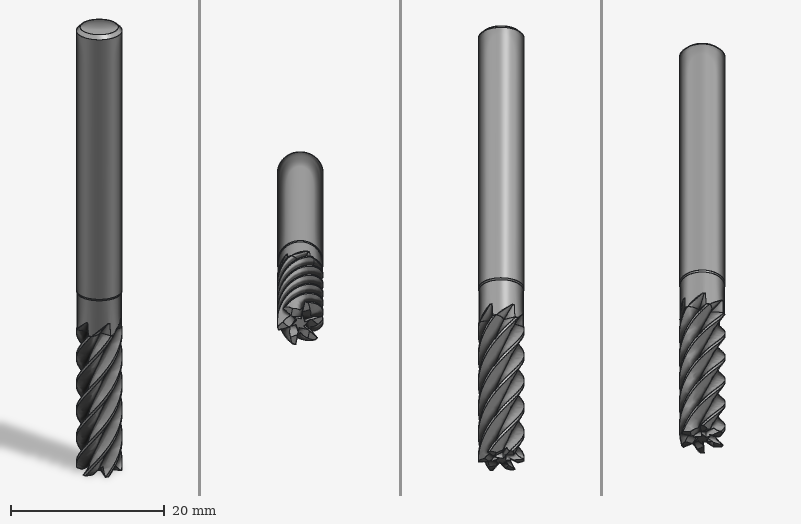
import cadquery as cq
import math


total_length = 63.0
shank_diameter = 6.0
shank_radius = shank_diameter / 2
top_chamfer = 0.5

neck_top = 25.2
neck_taper_height = 0.25
neck_radius = 2.9

cut_length = 20.05
flute_count = 6
helix_angle = 39.5
lead = math.pi * shank_diameter / math.tan(math.radians(helix_angle))
pitch_angle = 360.0 / flute_count

edge_angle = 5.0
margin_angle = 8.0
relief_angle = 20.0
relief_radius = 2.4
floor_angle = 34.0
floor_radius = 1.6
rake_angle = 47.0
rake_radius = 2.0

gash_height = 1.0
gash_width = 1.4
web_radius = 0.6

runout_top = 21.8
runout_tip_angle = 54.0
runout_tip_half_angle = 3.0
runout_tip_depth = 0.2
runout_overshoot = 0.25


def polar(radius, angle):
    """Point at a radius and an angle in degrees."""
    return (radius * math.cos(math.radians(angle)), radius * math.sin(math.radians(angle)))


def turn_at(height):
    """Rotation of the helix, in degrees, between the tip and a height."""
    return 360.0 * height / lead


def add_flute(outline, edge):
    """Continue an outline from the back of one margin, through the flute, to the next cutting edge."""
    return (
        outline
        .threePointArc(
            polar(relief_radius, edge + relief_angle),
            polar(floor_radius, edge + floor_angle),
        )
        .lineTo(*polar(rake_radius, edge + rake_angle))
        .lineTo(*polar(shank_radius, edge + pitch_angle))
    )


def make_head_section():
    """Cross-section of the cutting head at the tip, with one tooth per flute."""
    section = cq.Workplane("XY").moveTo(*polar(shank_radius, edge_angle))
    for index in range(flute_count):
        edge = edge_angle + index * pitch_angle
        section = section.threePointArc(
            polar(shank_radius, edge + margin_angle / 2),
            polar(shank_radius, edge + margin_angle),
        )
        section = add_flute(section, edge)
    return section.close()


def make_gash(index):
    """Radial notch in the tip whose upright wall lies along one end cutting edge."""
    return (
        cq.Workplane("YZ", origin=(web_radius, 0, 0))
        .polyline([(0, 0), (0, gash_height), (-gash_width, 0)])
        .close()
        .extrude(shank_radius)
        .rotate((0, 0, 0), (0, 0, 1), edge_angle + index * pitch_angle)
    )


def make_cutting_head():
    head = make_head_section().twistExtrude(cut_length, turn_at(cut_length))
    for index in range(flute_count):
        head = head.cut(make_gash(index))
    return head


def make_runout(index):
    """Tapered pocket that carries one flute from the head up into the neck."""
    edge = edge_angle + turn_at(cut_length) + index * pitch_angle
    outer_radius = shank_radius + runout_overshoot
    lower = (
        cq.Workplane("XY", origin=(0, 0, cut_length))
        .moveTo(*polar(outer_radius, edge + margin_angle))
        .lineTo(*polar(shank_radius, edge + margin_angle))
    )
    lower = add_flute(lower, edge).lineTo(*polar(outer_radius, edge + pitch_angle)).close()

    tip = edge + runout_tip_angle
    tip_start = tip - runout_tip_half_angle
    tip_end = tip + runout_tip_half_angle
    tip_middle = (tip + tip_end) / 2
    upper = (
        cq.Workplane("XY", origin=(0, 0, runout_top))
        .moveTo(*polar(outer_radius, tip_start))
        .lineTo(*polar(neck_radius, tip_start))
        .threePointArc(
            polar(neck_radius - runout_tip_depth / 2, (tip_start + tip) / 2),
            polar(neck_radius - runout_tip_depth, tip),
        )
        .lineTo(*polar(neck_radius - runout_tip_depth / 2, tip_middle))
        .lineTo(*polar(neck_radius, tip_end))
        .lineTo(*polar(outer_radius, tip_end))
        .close()
    )
    return cq.Workplane(cq.Solid.makeLoft([lower.val(), upper.val()], True))


def make_shank():
    shank = (
        cq.Workplane("YZ")
        .moveTo(0, cut_length)
        .lineTo(-neck_radius, cut_length)
        .lineTo(-neck_radius, neck_top)
        .lineTo(-shank_radius, neck_top + neck_taper_height)
        .lineTo(-shank_radius, total_length - top_chamfer)
        .lineTo(top_chamfer - shank_radius, total_length)
        .lineTo(0, total_length)
        .close()
        .revolve(360, (0, 0, 0), (0, 1, 0))
    )
    for index in range(flute_count):
        shank = shank.cut(make_runout(index))
    return shank


cutting_head = make_cutting_head()
shank = make_shank()
result = cq.Compound.makeCompound([cutting_head.solids().val(), shank.solids().val()])